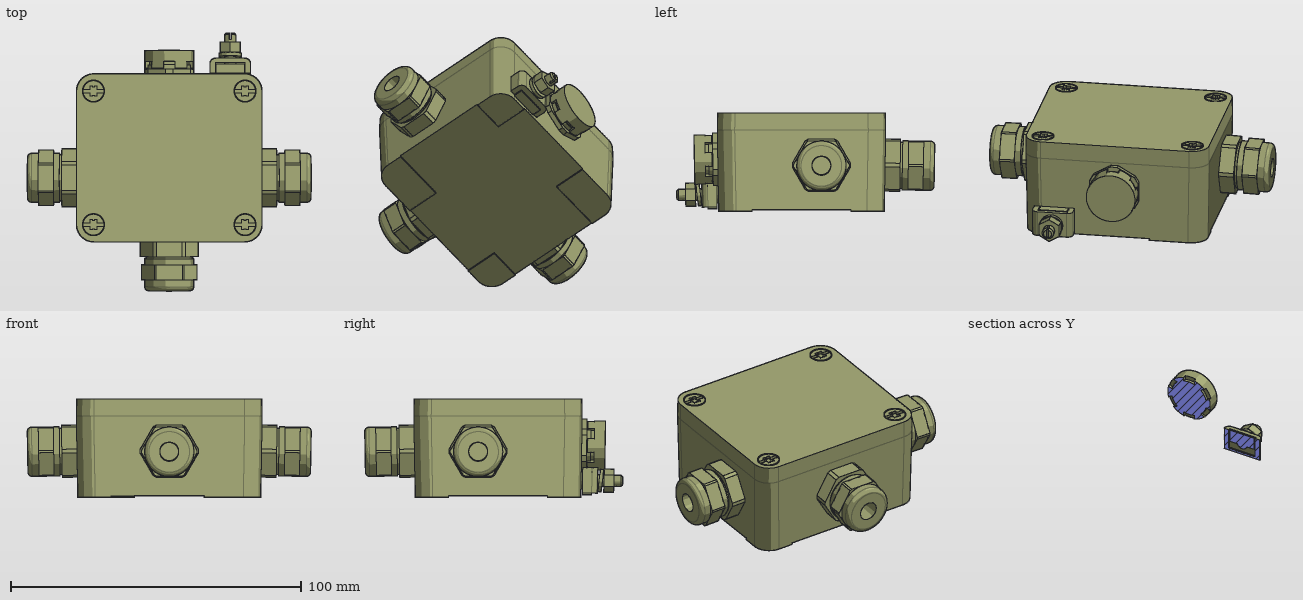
import cadquery as cq
import math


BOX_X = 64.0
BOX_Y = 58.0
BASE_H = 28.0
LID_H = 6.0
BOX_H = BASE_H + LID_H
CORNER_R = 6.0
DRAFT = 1.0
DRAFT_SLOPE = math.tan(math.radians(DRAFT))

RELIEF_DEPTH = 0.6
RELIEF_Y = 34.0
RELIEF_NEAR = 12.0
RELIEF_FAR = 20.0

SCREW_X = 26.1
SCREW_Y = 23.0
SCREW_HOLE_D = 7.6
SCREW_HEAD_D = 7.2
SCREW_GROOVE_DEPTH = 0.3
DRIVE_DEPTH = 1.0
DRIVE_SLOT = (SCREW_HEAD_D, 1.2)
DRIVE_CROSS = (2.5, 3.4)
DRIVE_TOOTH = (0.6, 0.25)

EMBED = 1.0
GLAND_Y = -6.85
GLAND_Z = 16.0
GLAND_D = 17.0
GLAND_HEX_AF = 18.0
GLAND_HEX_CORNERS = 20.0
GLAND_HEX_END = 5.2
GLAND_NECK_D = 16.0
GLAND_NECK_END = 5.95
GLAND_NUT_AF = 17.0
GLAND_NUT_CORNERS = 19.2
GLAND_NUT_START = 8.0
GLAND_NUT_END = 13.2
GLAND_LENGTH = 17.02
GLAND_FILLET = 1.5
GLAND_BORE_D = 6.5
GLAND_BORE_DEPTH = 14.0

HEX_TURN = 30.0
FULL_TURN = 360.0

VENT_Z = 18.0
VENT_HEX_AF = 17.0
VENT_HEX_CORNERS = 18.2
VENT_HEX_END = 1.7
VENT_CAP_D = 17.0
VENT_CAP_START = 2.0
VENT_CAP_END = 8.1
VENT_NECK_D = 15.0
VENT_NOTCHES = 6
VENT_NOTCH_W = 4.0
VENT_NOTCH_L = 2.3
VENT_CORE_D = 15.0
VENT_CORE_STEP_D = 14.0

TERM_X = 21.0
TERM_Z = 5.95
STRAP_W = 14.1
STRAP_H = 8.8
STRAP_REACH = 5.7
STRAP_START = 0.5
STRAP_LEG_T = 1.9
STRAP_BRIDGE_T = 1.5
STRAP_R = 2.0
CLAMP_W = 9.8
CLAMP_T = 3.2
SILL_H = 1.0
LIP_DROP = 0.6
STUD_D = 4.0
STUD_LENGTH = 14.36
STUD_CHAMFER = 0.6
STUD_SLOT_W = 0.6
STUD_SLOT_DEPTH = 2.2
COLLAR_D = 6.2
WASHER_D = 7.8
WASHER_T = 1.2
WASHER_TILT = 6.0
TERM_NUT_AF = 7.0
TERM_NUT_START = 7.85
TERM_NUT_END = 11.3


def drafted_block(z_parting, z_end):
    """Rounded block that narrows from the parting line towards z_end."""
    shrink = 2 * DRAFT_SLOPE * abs(z_end - z_parting)
    full = cq.Sketch().rect(BOX_X, BOX_Y).vertices().fillet(CORNER_R)
    small = cq.Sketch().rect(BOX_X - shrink, BOX_Y - shrink).vertices().fillet(CORNER_R)
    rise = cq.Location(cq.Vector(0, 0, z_end - z_parting))
    wires = cq.Workplane("XY", origin=(0, 0, z_parting)).placeSketch(full, small.moved(rise))
    return wires.loft()


def cylinder(diameter, start, end):
    return cq.Workplane("XY").workplane(offset=start).circle(diameter / 2).extrude(end - start)


def box(size_x, size_y, start, end):
    return cq.Workplane("XY").workplane(offset=start).rect(size_x, size_y).extrude(end - start)


def hexagon(across_flats, start, end):
    """Hexagonal prism with two corners on the local X axis."""
    circumscribed_d = across_flats / math.cos(math.radians(HEX_TURN))
    return cq.Workplane("XY").workplane(offset=start).polygon(6, circumscribed_d).extrude(end - start)


def trimmed_hexagon(across_flats, across_corners, start, end):
    """Hexagonal prism whose corners are cut off by small flats."""
    cutter = hexagon(across_corners, start, end).rotate((0, 0, 0), (0, 0, 1), HEX_TURN)
    return hexagon(across_flats, start, end).intersect(cutter)


def on_wall(fitting, out_x, out_y, along, height):
    """Stand a fitting (axis +Z, up +Y) on the drafted wall facing (out_x, out_y)."""
    half = (BOX_X if out_x else BOX_Y) / 2
    reach = half - DRAFT_SLOPE * (BASE_H - height)
    origin = (out_x * reach + abs(out_y) * along, out_y * reach + abs(out_x) * along, height)
    normal = (out_x, out_y, -DRAFT_SLOPE)
    plane = cq.Plane(origin=origin, xDir=(-out_y, out_x, 0), normal=normal)
    return cq.Workplane(fitting.val().moved(plane.location))


def base():
    body = drafted_block(BASE_H, 0)
    step_x = RELIEF_NEAR + RELIEF_FAR
    step_shift = (RELIEF_FAR - RELIEF_NEAR) / 2
    body = body.cut(box(BOX_X, RELIEF_Y, 0, RELIEF_DEPTH))
    for side in (-1, 1):
        half_passage = box(step_x, BOX_Y / 2, 0, RELIEF_DEPTH)
        body = body.cut(half_passage.translate((side * step_shift, side * BOX_Y / 4, 0)))
    return body


def screw_recess():
    """Ring groove around the screw head plus its slot and cross drive, cut into the lid top."""
    groove_z = BOX_H - SCREW_GROOVE_DEPTH
    drive_z = BOX_H - DRIVE_DEPTH
    drive = box(*DRIVE_CROSS, drive_z, BOX_H)
    for side in (-1, 1):
        tooth_y = side * (DRIVE_CROSS[1] - DRIVE_TOOTH[1]) / 2
        drive = drive.cut(box(*DRIVE_TOOTH, drive_z, BOX_H).translate((0, tooth_y, 0)))
    drive = drive.union(box(*DRIVE_SLOT, drive_z, BOX_H))
    groove = cylinder(SCREW_HOLE_D, groove_z, BOX_H).cut(cylinder(SCREW_HEAD_D, groove_z, BOX_H))
    return groove.union(drive)


def lid():
    cover = drafted_block(BASE_H, BOX_H)
    recess = screw_recess()
    for x in (-SCREW_X, SCREW_X):
        for y in (-SCREW_Y, SCREW_Y):
            cover = cover.cut(recess.translate((x, y, 0)))
    return cover


def cable_gland():
    cap = cylinder(GLAND_D, GLAND_NECK_END, GLAND_LENGTH).faces(">Z").edges().fillet(GLAND_FILLET)
    nut = trimmed_hexagon(GLAND_NUT_AF, GLAND_NUT_CORNERS, GLAND_NUT_START, GLAND_NUT_END)
    gland = trimmed_hexagon(GLAND_HEX_AF, GLAND_HEX_CORNERS, -EMBED, GLAND_HEX_END)
    gland = gland.union(cylinder(GLAND_NECK_D, 0, GLAND_NECK_END)).union(cap).union(nut)
    return gland.cut(cylinder(GLAND_BORE_D, GLAND_LENGTH - GLAND_BORE_DEPTH, GLAND_LENGTH))


def vent_plug():
    flange = trimmed_hexagon(VENT_HEX_AF, VENT_HEX_CORNERS, -EMBED, VENT_HEX_END)
    flange = flange.rotate((0, 0, 0), (0, 0, 1), HEX_TURN)
    notch_end = VENT_CAP_START + VENT_NOTCH_L
    notch_mid = VENT_CAP_START + VENT_NOTCH_L / 2
    cap = cylinder(VENT_CAP_D, VENT_CAP_START, VENT_CAP_END)
    notch = box(VENT_NOTCH_W, VENT_CAP_D / 2, VENT_CAP_START, notch_end).translate((0, VENT_CAP_D / 2, 0))
    for i in range(VENT_NOTCHES):
        cap = cap.cut(notch.rotate((0, 0, 0), (0, 0, 1), i * FULL_TURN / VENT_NOTCHES))
    core = cylinder(VENT_CORE_D, VENT_CAP_START, notch_mid)
    core = core.union(cylinder(VENT_CORE_STEP_D, notch_mid, notch_end))
    neck = cylinder(VENT_NECK_D, 0, VENT_CAP_START)
    return flange.union(neck).union(cap).union(core)


def terminal_strap():
    """U-shaped strap, open towards the wall, closed at its lower end by a sill with a lip."""
    strap = box(STRAP_W, STRAP_H, STRAP_START, STRAP_REACH)
    strap = strap.faces(">Z").edges("|Y").fillet(STRAP_R)
    opening_w = STRAP_W - 2 * STRAP_LEG_T
    opening = box(opening_w, STRAP_H, STRAP_START, STRAP_REACH - STRAP_BRIDGE_T)
    strap = strap.cut(opening.translate((0, SILL_H, 0)))
    lip_h = SILL_H + LIP_DROP
    lip_y = lip_h / 2 - LIP_DROP - STRAP_H / 2
    lip = box(opening_w, lip_h, STRAP_START, STRAP_START + CLAMP_T)
    return strap.union(lip.translate((0, lip_y, 0)))


def terminal_stud():
    stud = cylinder(STUD_D, -EMBED, STUD_LENGTH).faces(">Z").edges().chamfer(STUD_CHAMFER)
    return stud.cut(box(STUD_SLOT_W, STUD_D, STUD_LENGTH - STUD_SLOT_DEPTH, STUD_LENGTH))


def earth_terminal():
    washer_mid = (STRAP_REACH + TERM_NUT_START) / 2
    washer = cylinder(WASHER_D, -WASHER_T / 2, WASHER_T / 2)
    washer = washer.rotate((0, 0, 0), (1, 0, 0), WASHER_TILT).translate((0, 0, washer_mid))
    nut = hexagon(TERM_NUT_AF, TERM_NUT_START, TERM_NUT_END).rotate((0, 0, 0), (0, 0, 1), HEX_TURN)
    clamp = box(CLAMP_W, STRAP_H, STRAP_START, STRAP_START + CLAMP_T)
    collar = cylinder(COLLAR_D, -EMBED, STRAP_START)
    terminal = terminal_strap()
    for piece in (clamp, collar, washer, nut, terminal_stud()):
        terminal = terminal.union(piece)
    return terminal


result = base().union(lid())
for out_x, out_y, along in ((-1, 0, GLAND_Y), (1, 0, GLAND_Y), (0, -1, 0)):
    result = result.union(on_wall(cable_gland(), out_x, out_y, along, GLAND_Z))
result = result.union(on_wall(vent_plug(), 0, 1, 0, VENT_Z))
result = result.union(on_wall(earth_terminal(), 0, 1, TERM_X, TERM_Z))